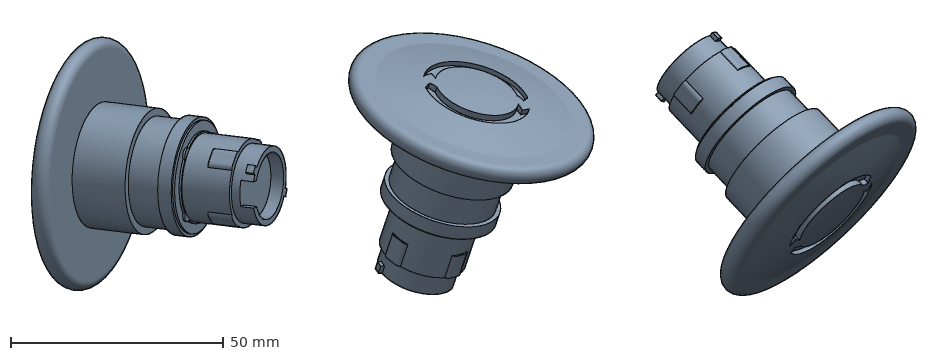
import cadquery as cq
import math


CAP_RADIUS = 30.0
CAP_THICKNESS = 4.5
DOME_RADIUS = 24.0
DOME_HEIGHT = 3.2
RIM_RADIUS = CAP_THICKNESS / 2
CAP_BACK_X = DOME_HEIGHT + CAP_THICKNESS

COLLAR_RADIUS, COLLAR_END_X = 15.0, 21.4
NECK_RADIUS, NECK_END_X = 13.15, 29.5
BEZEL_RADIUS, BEZEL_END_X = 14.25, 33.0
SEAL_RADIUS, SEAL_END_X = 13.5, 33.55
RING_RADIUS, RING_END_X = 11.0, 34.1
BARREL_RADIUS, BARREL_END_X = 10.6, 46.4
TIP_RADIUS, TIP_END_X = 9.5, 51.9

ARROW_OUTER_RADIUS = 13.0
ARROW_INNER_RADIUS = 10.22
ARROW_MID_RADIUS = (ARROW_OUTER_RADIUS + ARROW_INNER_RADIUS) / 2
ARROW_NEAR_ANGLE = 7.0
ARROW_FAR_ANGLE = 16.0
ARROW_FLOOR_X = 2.1

KEY_LENGTH = 6.25
KEY_TOP_DISTANCE = 10.93
KEY_HALF_WIDTH = 2.82
KEY_ROUND = 1.4
KEY_ROOT_DISTANCE = 8.0
KEY_ANGLES = (45, 135, 225, 315)

BUMP_RADIUS = 1.8
BUMP_CENTER_DISTANCE = 10.15

BORE_RADIUS = 8.0
SLOT_WIDTH = 6.4
SLOT_DEPTH = 3.3

LUG_LENGTH = 2.05
LUG_WIDTH = 2.0
LUG_TOP_DISTANCE = 10.45
LUG_ROOT_DISTANCE = 9.0
LUG_ANGLES = (144, -23)


def polar(radius, angle):
    """Point in the YZ plane; the angle in degrees runs from +Y towards +Z."""
    turn = math.radians(angle)
    return radius * math.cos(turn), radius * math.sin(turn)


def turned_about_axis(solid, angle):
    return solid.rotate((0, 0, 0), (1, 0, 0), angle)


def make_body():
    """Cap and stepped body, revolved about the X axis."""
    sphere_radius = (DOME_RADIUS**2 + DOME_HEIGHT**2) / (2 * DOME_HEIGHT)
    half_chord = DOME_RADIUS / 2
    half_sag = sphere_radius - math.sqrt(sphere_radius**2 - half_chord**2)
    rim_center_radius = CAP_RADIUS - RIM_RADIUS
    profile = (
        cq.Workplane("XZ")
        .threePointArc((half_sag, half_chord), (DOME_HEIGHT, DOME_RADIUS))
        .lineTo(DOME_HEIGHT, rim_center_radius)
        .threePointArc((DOME_HEIGHT + RIM_RADIUS, CAP_RADIUS), (CAP_BACK_X, rim_center_radius))
    )
    steps = (
        (COLLAR_RADIUS, COLLAR_END_X),
        (NECK_RADIUS, NECK_END_X),
        (BEZEL_RADIUS, BEZEL_END_X),
        (SEAL_RADIUS, SEAL_END_X),
        (RING_RADIUS, RING_END_X),
        (BARREL_RADIUS, BARREL_END_X),
        (TIP_RADIUS, TIP_END_X),
    )
    start_x = CAP_BACK_X
    for radius, end_x in steps:
        profile = profile.lineTo(start_x, radius).lineTo(end_x, radius)
        start_x = end_x
    return profile.lineTo(TIP_END_X, 0).close().revolve(360, (0, 0, 0), (1, 0, 0))


def make_arrow():
    """Curved arrow over the upper half of the dome: notched tail on +Y, pointed head on -Y."""
    return (
        cq.Workplane("YZ")
        .moveTo(*polar(ARROW_OUTER_RADIUS, ARROW_NEAR_ANGLE))
        .lineTo(*polar(ARROW_MID_RADIUS, ARROW_FAR_ANGLE))
        .lineTo(*polar(ARROW_INNER_RADIUS, ARROW_NEAR_ANGLE))
        .threePointArc((0, ARROW_INNER_RADIUS), polar(ARROW_INNER_RADIUS, 180 - ARROW_FAR_ANGLE))
        .lineTo(*polar(ARROW_MID_RADIUS, 180 - ARROW_NEAR_ANGLE))
        .lineTo(*polar(ARROW_OUTER_RADIUS, 180 - ARROW_FAR_ANGLE))
        .threePointArc((0, ARROW_OUTER_RADIUS), polar(ARROW_OUTER_RADIUS, ARROW_NEAR_ANGLE))
        .close()
        .extrude(ARROW_FLOOR_X)
    )


def make_block(end_x, length, root, top, width):
    """Block on the +Y side, ending at end_x and reaching from root to top in Y."""
    return cq.Workplane("XY").box(length, top - root, width).translate(
        (end_x - length / 2, (root + top) / 2, 0)
    )


def make_key():
    """Key on the +Y side with its two long outer edges rounded."""
    block = make_block(BARREL_END_X, KEY_LENGTH, KEY_ROOT_DISTANCE, KEY_TOP_DISTANCE, 2 * KEY_HALF_WIDTH)
    return block.faces(">Y").edges("|X").fillet(KEY_ROUND)


def make_bump():
    """Short cylinder parallel to X, partly sunk into the ring on the +Y side."""
    return (
        cq.Workplane("YZ")
        .workplane(offset=SEAL_END_X)
        .center(BUMP_CENTER_DISTANCE, 0)
        .circle(BUMP_RADIUS)
        .extrude(RING_END_X - SEAL_END_X)
    )


def make_lug():
    """Square-edged lug on the +Y side of the tip."""
    return make_block(TIP_END_X, LUG_LENGTH, LUG_ROOT_DISTANCE, LUG_TOP_DISTANCE, LUG_WIDTH)


def make_tip_cuts():
    """Blind bore in the tip, with a slot through its wall on the -Y side."""
    floor_x = TIP_END_X - SLOT_DEPTH
    bore = cq.Workplane("YZ").workplane(offset=floor_x).circle(BORE_RADIUS).extrude(SLOT_DEPTH)
    slot = make_block(TIP_END_X, SLOT_DEPTH, 0, TIP_RADIUS, SLOT_WIDTH)
    return bore.union(turned_about_axis(slot, 180))


result = make_body()

arrow = make_arrow()
for angle in (0, 180):
    result = result.cut(turned_about_axis(arrow, angle))

key = make_key()
bump = make_bump()
for angle in KEY_ANGLES:
    result = result.union(turned_about_axis(key, angle))
    result = result.union(turned_about_axis(bump, angle))

lug = make_lug()
for angle in LUG_ANGLES:
    result = result.union(turned_about_axis(lug, angle))

result = result.cut(make_tip_cuts())